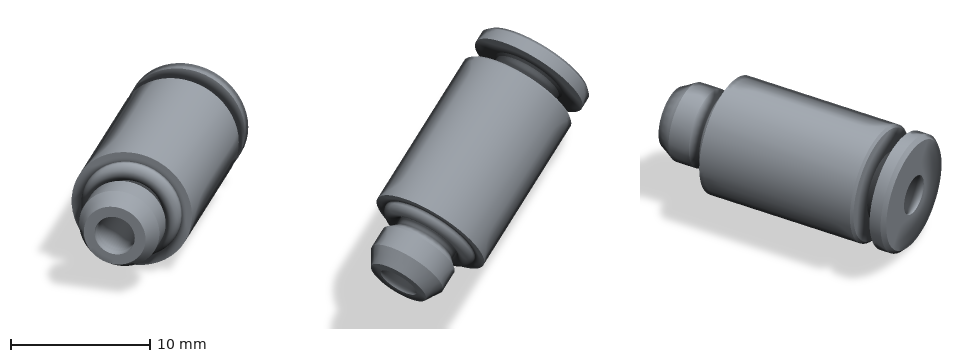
import cadquery as cq
import math


total_length = 19.6
body_radius = 4.5
bore_radius = 1.5

nose_radius = 3.0
nose_neck_radius = 2.35
nose_taper_length = 1.2
nose_taper_angle = 30
nose_land_length = 1.65

body_front = 4.5
ring_outer_radius = 3.75

body_rear = 17.2
rear_cone_height = 0.22
rear_chamfer_width = 0.2
rear_chamfer_length = 0.18

collar_thickness = 1.2
collar_chamfer = 0.3
collar_neck_radius = 2.62
collar_neck_flare = 0.17

nose_tip_radius = nose_radius - nose_taper_length * math.tan(math.radians(nose_taper_angle))
nose_land_end = nose_taper_length + nose_land_length
nose_neck_start = nose_land_end + (nose_radius - nose_neck_radius)
ring_section_radius = (ring_outer_radius - nose_neck_radius) / 2
ring_center_radius = nose_neck_radius + ring_section_radius
rear_cone_start = body_rear - rear_cone_height
rear_chamfer_start = rear_cone_start - rear_chamfer_length
collar_front = total_length - collar_thickness


def fitting():
    """Revolve the wall section, drawn as (radius, Y), between the through bore and the outside."""
    profile = (
        cq.Workplane("XY")
        .moveTo(bore_radius, 0)
        .lineTo(nose_tip_radius, 0)
        .lineTo(nose_radius, nose_taper_length)
        .lineTo(nose_radius, nose_land_end)
        .lineTo(nose_neck_radius, nose_neck_start)
        .lineTo(nose_neck_radius, body_front)
        .threePointArc(
            (ring_center_radius, body_front - ring_section_radius),
            (ring_outer_radius, body_front),
        )
        .lineTo(body_radius, body_front)
        .lineTo(body_radius, rear_chamfer_start)
        .lineTo(body_radius - rear_chamfer_width, rear_cone_start)
        .lineTo(collar_neck_radius, body_rear)
        .lineTo(collar_neck_radius, collar_front - collar_neck_flare)
        .lineTo(collar_neck_radius + collar_neck_flare, collar_front)
        .lineTo(body_radius, collar_front)
        .lineTo(body_radius, total_length - collar_chamfer)
        .lineTo(body_radius - collar_chamfer, total_length)
        .lineTo(bore_radius, total_length)
        .close()
    )
    return profile.revolve(360, (0, 0, 0), (0, 1, 0))


result = fitting()